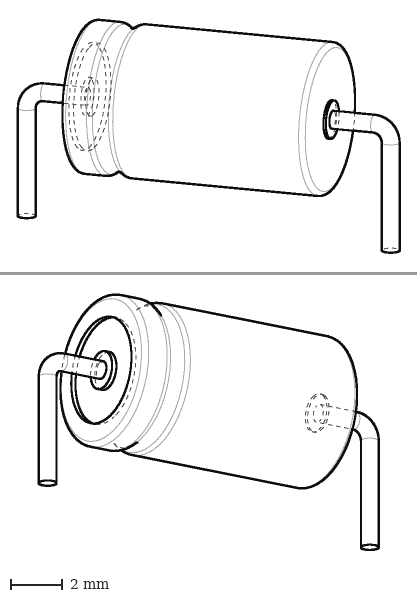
import cadquery as cq
import math


CAN_LENGTH = 10.0
CAN_RADIUS = 3.0
RIM_FILLET = 0.2

GROOVE_OFFSET = 1.6
GROOVE_DEPTH = 0.2
GROOVE_HOLLOW_WIDTH = 0.66
GROOVE_WIDTH = 1.08

RECESS_DIAMETER = 4.2
RECESS_DEPTH = 0.2
BUSHING_DIAMETER = 1.5
BUSHING_PROJECTION = 0.1

LEAD_DIAMETER = 0.7
LEAD_PITCH = 15.0
LEAD_DROP = 5.02
BEND_RADIUS = 0.7

LEFT_END = -CAN_LENGTH / 2
RIGHT_END = CAN_LENGTH / 2


def make_can():
    """Revolve the can's half section, with rim fillets and groove, about the X axis."""
    middle = LEFT_END + GROOVE_OFFSET
    half_hollow = GROOVE_HOLLOW_WIDTH / 2
    half_groove = GROOVE_WIDTH / 2

    slope = 2 * math.atan(GROOVE_DEPTH / half_groove)
    crest_radius = (half_groove - half_hollow) / math.sin(slope)
    floor_radius = CAN_RADIUS - GROOVE_DEPTH
    tangent_radius = CAN_RADIUS - crest_radius * (1 - math.cos(slope))
    crest_mid_x = half_groove - crest_radius * math.sin(slope / 2)
    crest_mid_radius = CAN_RADIUS - crest_radius * (1 - math.cos(slope / 2))
    rim_radius = CAN_RADIUS - RIM_FILLET
    rim_mid = RIM_FILLET * (1 - math.sqrt(0.5))

    section = (
        cq.Workplane("XZ")
        .moveTo(LEFT_END, 0)
        .lineTo(LEFT_END, rim_radius)
        .threePointArc((LEFT_END + rim_mid, CAN_RADIUS - rim_mid), (LEFT_END + RIM_FILLET, CAN_RADIUS))
        .lineTo(middle - half_groove, CAN_RADIUS)
        .threePointArc((middle - crest_mid_x, crest_mid_radius), (middle - half_hollow, tangent_radius))
        .threePointArc((middle, floor_radius), (middle + half_hollow, tangent_radius))
        .threePointArc((middle + crest_mid_x, crest_mid_radius), (middle + half_groove, CAN_RADIUS))
        .lineTo(RIGHT_END - RIM_FILLET, CAN_RADIUS)
        .threePointArc((RIGHT_END - rim_mid, CAN_RADIUS - rim_mid), (RIGHT_END, rim_radius))
        .lineTo(RIGHT_END, 0)
        .close()
    )
    return section.revolve(360, (0, 0, 0), (1, 0, 0))


def disc(start_x, diameter, thickness):
    """Disc on the can axis, growing towards +X from start_x."""
    return cq.Workplane("YZ", origin=(start_x, 0, 0)).circle(diameter / 2).extrude(thickness)


def make_lead(side):
    """Round lead from the can's middle out along X (side is -1 or +1), then down."""
    lead_x = side * LEAD_PITCH / 2
    bend_x = lead_x - side * BEND_RADIUS
    bend_mid = BEND_RADIUS * math.sqrt(0.5)
    path = (
        cq.Workplane("XZ")
        .moveTo(0, 0)
        .lineTo(bend_x, 0)
        .threePointArc((bend_x + side * bend_mid, bend_mid - BEND_RADIUS), (lead_x, -BEND_RADIUS))
        .lineTo(lead_x, -LEAD_DROP)
    )
    return cq.Workplane("YZ").circle(LEAD_DIAMETER / 2).sweep(path)


result = make_can()
result = result.cut(disc(LEFT_END, RECESS_DIAMETER, RECESS_DEPTH))
result = result.union(disc(LEFT_END, BUSHING_DIAMETER, RECESS_DEPTH))
result = result.union(disc(RIGHT_END, BUSHING_DIAMETER, BUSHING_PROJECTION))

for side in (-1, 1):
    result = result.union(make_lead(side))